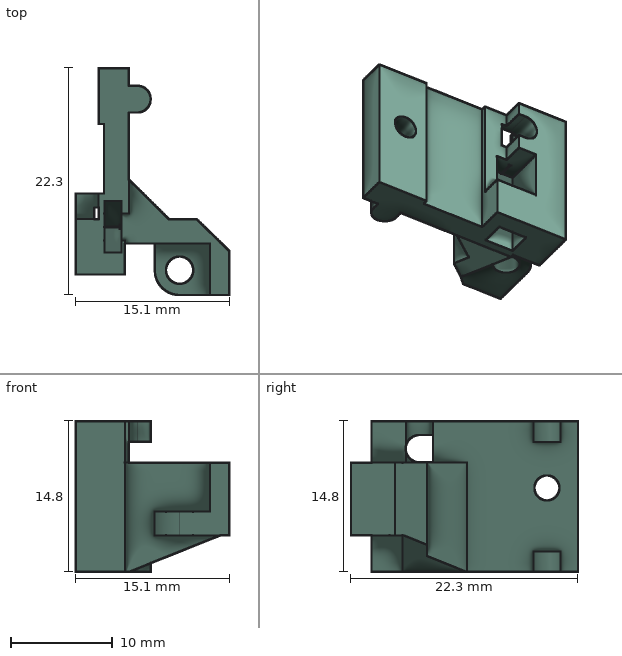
import cadquery as cq
import math

length = 22.3
width = 15.1
height = 14.8

wall_left = 2.77
wall_right = 5.22
end_left = 2.25
end_start = 16.8

block_right = 4.85
block_front = 2.0
block_back = 10.0

ear_diameter = 2.65
ear_tip = 7.38
ear_height = 2.03
ear_y = 19.25
end_hole_diameter = 2.43
end_hole_z = 8.25

arm_bottom = 3.6
arm_top = 10.75
arm_front = 5.06
arm_root_back = 11.37
arm_back = 7.47
arm_bend_x = 9.17
arm_chamfer_x = 11.89
arm_chamfer_y = 4.35
brace_end = 14.2
lug_left = 7.75
lug_right = 13.2
lug_top = 5.93
lug_radius = 2.45
lug_hole_diameter = 2.65

bolt_diameter = 2.65
bolt_y = 6.71
bolt_z = 12.1
nut_left = 2.83
nut_right = 4.48
nut_width = 5.08

recess_right = 2.25
recess_front = 7.47
recess_floor = 4.1
channel_left = 1.85
channel_right = 4.33
channel_front = 5.46
channel_back = 8.59
channel_top = 9.19


def box(x0, x1, y0, y1, z0, z1):
    """Box between two limits on each axis."""
    return cq.Workplane("XY").box(x1 - x0, y1 - y0, z1 - z0, centered=False).translate((x0, y0, z0))


def make_wall():
    wall = box(wall_left, wall_right, block_front, length, 0, height)
    thick_end = box(end_left, wall_right, end_start, length, 0, height)
    block = box(0, block_right, block_front, block_back, 0, height)
    front_step = box(block_right, wall_right, block_front, bolt_y, 0, height)
    return wall.union(thick_end).cut(front_step).union(block)


def make_ear(bottom):
    radius = ear_diameter / 2
    center_x = ear_tip - radius
    bar = box(wall_left, center_x, ear_y - radius, ear_y + radius, bottom, bottom + ear_height)
    tip = cq.Workplane("XY", origin=(center_x, ear_y, bottom)).circle(radius).extrude(ear_height)
    return bar.union(tip)


def make_arm():
    outline = [
        (nut_right, arm_front),
        (lug_right, arm_front),
        (lug_right, 0),
        (width, 0),
        (width, arm_chamfer_y),
        (arm_chamfer_x, arm_back),
        (arm_bend_x, arm_back),
        (wall_right, arm_root_back),
        (nut_right, arm_root_back),
    ]
    arm = cq.Workplane("XY").polyline(outline).close().extrude(arm_top)
    side_profile = [
        (nut_right, 0),
        (wall_right, 0),
        (brace_end, arm_bottom),
        (width, arm_bottom),
        (width, arm_top),
        (nut_right, arm_top),
    ]
    brace = cq.Workplane("XZ").polyline(side_profile).close().extrude(-length)
    column = box(lug_right, width, 0, arm_front, 0, arm_bottom)
    return arm.intersect(brace).cut(column)


def make_lug():
    lug = box(lug_left, lug_right, 0, arm_front, arm_bottom, lug_top)
    return lug.edges("|Z and <X and <Y").fillet(lug_radius)


def make_nut_trap():
    """Upright slot with a V floor matching the lower half of a hexagonal nut."""
    half_width = nut_width / 2
    tip_drop = nut_width / math.sqrt(3)
    profile = [
        (bolt_y - half_width, height),
        (bolt_y - half_width, bolt_z - tip_drop / 2),
        (bolt_y, bolt_z - tip_drop),
        (bolt_y + half_width, bolt_z - tip_drop / 2),
        (bolt_y + half_width, height),
    ]
    plane = cq.Workplane("YZ", origin=(nut_left, 0, 0))
    return plane.polyline(profile).close().extrude(nut_right - nut_left)


def make_bolt_passage():
    """D-shaped hole through the block, opened upwards behind the nut."""
    radius = bolt_diameter / 2
    near, far = bolt_y - radius, bolt_y + radius
    round_side = cq.Workplane("YZ").center(bolt_y, bolt_z).circle(radius).extrude(wall_right)
    square_side = box(0, wall_right, bolt_y, far, bolt_z - radius, bolt_z + radius)
    open_notch = box(nut_right, wall_right, near, far, arm_top, height)
    return round_side.union(square_side).union(open_notch)


def make_channel():
    recess = box(0, recess_right, recess_front, block_back, recess_floor, height)
    pocket = box(0, channel_right, channel_front, channel_back, recess_floor, channel_top)
    shaft = box(channel_left, channel_right, channel_front, channel_back, 0, recess_floor)
    return recess.union(pocket).union(shaft)


result = make_wall().union(make_arm()).union(make_lug())
for ear_bottom in (0, height - ear_height):
    result = result.union(make_ear(ear_bottom))

end_hole = (
    cq.Workplane("YZ").center(ear_y, end_hole_z).circle(end_hole_diameter / 2).extrude(wall_right)
)
lug_hole = (
    cq.Workplane("XY")
    .center(lug_left + lug_radius, lug_radius)
    .circle(lug_hole_diameter / 2)
    .extrude(arm_top)
)
cutters = (end_hole, lug_hole, make_nut_trap(), make_bolt_passage(), make_channel())
for cutter in cutters:
    result = result.cut(cutter)